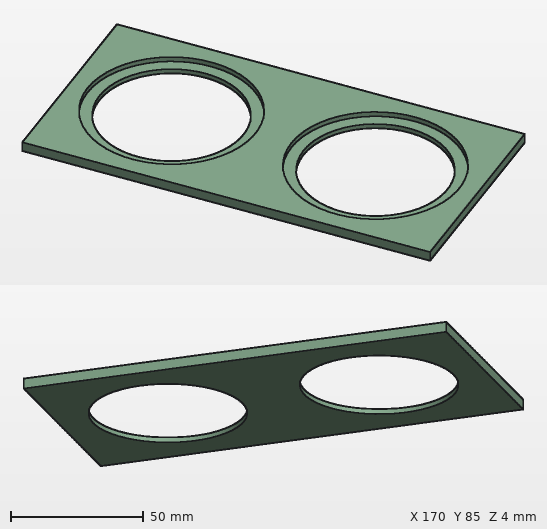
import cadquery as cq

plate_length = 170.0
plate_width = plate_length / 2
plate_thickness = 4.0

opening_spacing = plate_length / 2
bore_diameter = 60.0
recess_diameter = 70.0
recess_depth = 2.0

plate = cq.Workplane("XY").box(
    plate_length, plate_width, plate_thickness, centered=(True, True, False)
)

result = (
    plate.faces(">Z")
    .workplane()
    .rarray(opening_spacing, plate_width, 2, 1)
    .cboreHole(bore_diameter, recess_diameter, recess_depth)
)